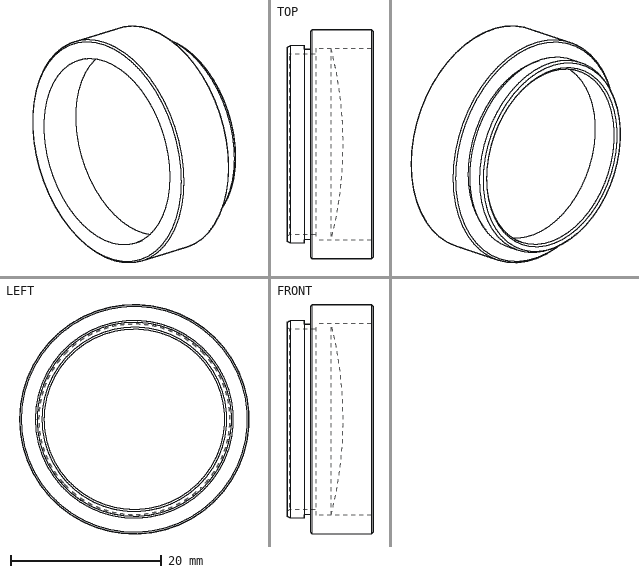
import cadquery as cq
import math

total_length = 11.43
barrel_radius = 15.25
barrel_start = 3.08
barrel_chamfer = 0.25

nose_radius = 13.15
nose_length = 2.3
nose_chamfer_length = 0.45
nose_chamfer_depth = 0.25
relief_radius = 12.65

bore_radius = 11.98
bore_chamfer = 0.27
seat_start = 3.8

lens_radius = 12.7
lens_edge_thickness = 2.0
lens_centre_thickness = 3.6


def revolve_about_x(profile):
    """Turn a closed half profile, drawn as (X, radius), into a round solid about X."""
    return profile.close().revolve(360, (0, 0, 0), (1, 0, 0))


def make_housing():
    """Stepped tube with a chamfered nose, a relief groove and a seat open towards +X."""
    profile = (
        cq.Workplane("XY")
        .moveTo(0, bore_radius + bore_chamfer)
        .lineTo(0, nose_radius - nose_chamfer_depth)
        .lineTo(nose_chamfer_length, nose_radius)
        .lineTo(nose_length, nose_radius)
        .lineTo(nose_length, relief_radius)
        .lineTo(barrel_start, relief_radius)
        .lineTo(barrel_start, barrel_radius - barrel_chamfer)
        .lineTo(barrel_start + barrel_chamfer, barrel_radius)
        .lineTo(total_length - barrel_chamfer, barrel_radius)
        .lineTo(total_length, barrel_radius - barrel_chamfer)
        .lineTo(total_length, lens_radius)
        .lineTo(seat_start, lens_radius)
        .lineTo(seat_start, bore_radius)
        .lineTo(bore_chamfer, bore_radius)
    )
    return revolve_about_x(profile)


def make_lens():
    """Round lens with a flat front face and a spherical back face."""
    centre_rise = lens_centre_thickness - lens_edge_thickness
    sphere_radius = (lens_radius**2 + centre_rise**2) / (2 * centre_rise)
    apex_x = seat_start + lens_centre_thickness
    sphere_centre_x = apex_x - sphere_radius
    mid_radius = lens_radius / 2
    mid_x = sphere_centre_x + math.sqrt(sphere_radius**2 - mid_radius**2)
    profile = (
        cq.Workplane("XY")
        .moveTo(seat_start, 0)
        .lineTo(seat_start, lens_radius)
        .lineTo(seat_start + lens_edge_thickness, lens_radius)
        .threePointArc((mid_x, mid_radius), (apex_x, 0))
    )
    return revolve_about_x(profile)


housing = make_housing()
lens = make_lens()

result = cq.Compound.makeCompound([housing.val(), lens.val()])